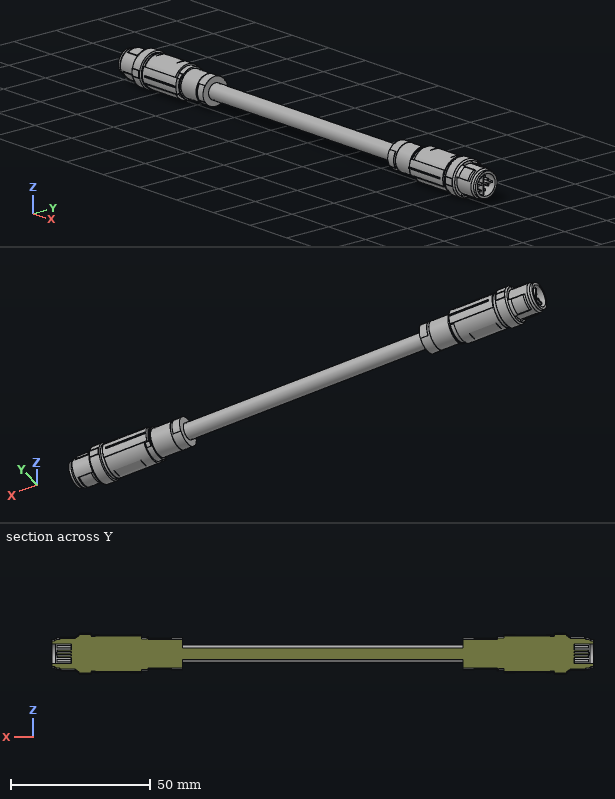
import cadquery as cq
import math

TOTAL_LENGTH = 194.6
OVERALL_WIDTH = 15.0
FULL_TURN = 360.0

NOSE_STEP_X = 1.0
SLEEVE_X = 1.8
PAD_START_X = 2.8
PAD_TOP_X = 3.4
PAD_RAMP_X = 8.4
COLLAR_START_X = 9.5
COLLAR_END_X = 14.4
BODY_START_X = 15.5
RIB_START_X = 17.0
BODY_END_X = 32.3
WING_END_X = 33.7
NECK_END_X = 34.7
TAIL_START_X = 43.0
TAIL_PAD_X = 43.8
PLUG_LENGTH = 47.0

NOSE_RADIUS = 5.2
SLEEVE_RADIUS = 5.75
PAD_RADIUS = 6.1
PAD_RAMP_RADIUS = 6.8
COLLAR_RADIUS = 7.395
GROOVE_RADIUS = 6.7
BODY_RADIUS = 6.9
WING_RADIUS = 7.25
NECK_RADIUS = 5.9
NECK_PAD_RADIUS = 6.25
RELIEF_RADIUS = 5.65
TAIL_RADIUS = 5.75
TAIL_PAD_RADIUS = 5.9
CABLE_RADIUS = 3.25
CORE_RADIUS = 5.0
CABLE_OVERLAP = 2.0

COLLAR_CHAMFER = 0.6
COLLAR_KEY_WIDTH = 2.9
COLLAR_KEY_INSET = 0.6
GRIP_HALF_HEIGHT = 3.2
RIB_THICKNESS = 0.5
RIM_LENGTH = 0.5

SLEEVE_PADS = [(56, 124), (198, 244), (280, 342)]
NECK_PAD = (45, 135)

LABEL_START_X = 17.1
LABEL_LENGTH = 11.2
LABEL_WIDTH = 4.2
LABEL_DEPTH = 0.25

BORE_RADIUS = 4.2
BORE_DEPTH = 7.0
SHIELD_THICKNESS = 0.6
SHIELD_RECESS = 1.5
PIN_RADIUS = 0.4
PIN_RECESS = 2.0
PIN_CIRCLE_RADIUS = 2.75
PIN_COUNT = 8


def revolve_profile(points, start=0.0, end=FULL_TURN):
    """Turn an (x, radius) outline about the X axis between two angles."""
    solid = cq.Workplane("XY").polyline(points).close().revolve(end - start, (0, 0, 0), (1, 0, 0))
    return solid.rotate((0, 0, 0), (1, 0, 0), start)


def ring_sector(x_start, x_end, radius, start, end):
    outline = [(x_start, CORE_RADIUS), (x_start, radius), (x_end, radius), (x_end, CORE_RADIUS)]
    return revolve_profile(outline, start, end)


def block(x_start, x_end, width, height, y_center=0.0, z_center=0.0):
    length = x_end - x_start
    center = (x_start + length / 2, y_center, z_center)
    return cq.Workplane("XY").box(length, width, height).translate(center)


def make_shell():
    """Stepped turned body from the tip to the cable end."""
    return revolve_profile([
        (0, 0),
        (0, NOSE_RADIUS),
        (NOSE_STEP_X, NOSE_RADIUS),
        (SLEEVE_X, SLEEVE_RADIUS),
        (COLLAR_START_X, SLEEVE_RADIUS),
        (COLLAR_START_X, COLLAR_RADIUS - COLLAR_CHAMFER),
        (COLLAR_START_X + COLLAR_CHAMFER, COLLAR_RADIUS),
        (COLLAR_END_X - COLLAR_CHAMFER / 2, COLLAR_RADIUS),
        (COLLAR_END_X, COLLAR_RADIUS - COLLAR_CHAMFER),
        (COLLAR_END_X, GROOVE_RADIUS),
        (BODY_START_X, GROOVE_RADIUS),
        (BODY_START_X, BODY_RADIUS),
        (BODY_END_X, BODY_RADIUS),
        (BODY_END_X, NECK_RADIUS),
        (NECK_END_X - RIM_LENGTH, NECK_RADIUS),
        (NECK_END_X - RIM_LENGTH, NECK_PAD_RADIUS),
        (NECK_END_X, NECK_PAD_RADIUS),
        (NECK_END_X, RELIEF_RADIUS),
        (TAIL_START_X, RELIEF_RADIUS),
        (TAIL_START_X, TAIL_RADIUS),
        (PLUG_LENGTH, TAIL_RADIUS),
        (PLUG_LENGTH, 0),
    ])


def add_sleeve_pads(plug):
    """Raised pads on the sleeve that ramp up into the collar."""
    outline = [
        (PAD_START_X, CORE_RADIUS),
        (PAD_START_X, SLEEVE_RADIUS),
        (PAD_TOP_X, PAD_RADIUS),
        (PAD_RAMP_X, PAD_RADIUS),
        (COLLAR_START_X, PAD_RAMP_RADIUS),
        (COLLAR_START_X, CORE_RADIUS),
    ]
    for start, end in SLEEVE_PADS:
        plug = plug.union(revolve_profile(outline, start, end))
    return plug


def add_side_grips(plug):
    """Wing, centre rib and collar key on both sides of the plug."""
    wing_angle = math.degrees(math.asin(GRIP_HALF_HEIGHT / WING_RADIUS))
    grip_height = OVERALL_WIDTH / 2 - CORE_RADIUS
    for side_angle, side in ((0, 1), (180, -1)):
        wing = ring_sector(
            BODY_START_X, WING_END_X, WING_RADIUS, side_angle - wing_angle, side_angle + wing_angle
        )
        grip_center = side * (CORE_RADIUS + grip_height / 2)
        rib = block(RIB_START_X, WING_END_X, grip_height, RIB_THICKNESS, grip_center)
        key = block(
            COLLAR_START_X + COLLAR_KEY_INSET, COLLAR_END_X - COLLAR_KEY_INSET,
            grip_height, COLLAR_KEY_WIDTH, grip_center,
        )
        plug = plug.union(wing).union(rib).union(key)
    return plug


def cut_labels(plug):
    """Shallow flat-floored recesses on the top and bottom of the body."""
    floor = BODY_RADIUS - LABEL_DEPTH
    for side in (1, -1):
        z_center = side * (floor + BODY_RADIUS / 2)
        recess = block(
            LABEL_START_X, LABEL_START_X + LABEL_LENGTH, LABEL_WIDTH, BODY_RADIUS, z_center=z_center
        )
        plug = plug.cut(recess)
    return plug


def add_tail_pads(plug):
    """Raised pads on both sides of the cable end, in line with the wings."""
    pad_angle = math.degrees(math.asin(GRIP_HALF_HEIGHT / TAIL_PAD_RADIUS))
    for side_angle in (0, 180):
        pad = ring_sector(
            TAIL_PAD_X, PLUG_LENGTH, TAIL_PAD_RADIUS, side_angle - pad_angle, side_angle + pad_angle
        )
        plug = plug.union(pad)
    return plug


def add_contacts(plug):
    """Round chamber with a cross-shaped shield and a ring of pins."""
    plug = plug.cut(cq.Workplane("YZ").circle(BORE_RADIUS).extrude(BORE_DEPTH))
    span = BORE_RADIUS + NOSE_RADIUS
    plug = plug.union(block(SHIELD_RECESS, BORE_DEPTH + SHIELD_THICKNESS, span, SHIELD_THICKNESS))
    plug = plug.union(block(SHIELD_RECESS, BORE_DEPTH + SHIELD_THICKNESS, SHIELD_THICKNESS, span))
    pins = (
        cq.Workplane("YZ", origin=(PIN_RECESS, 0, 0))
        .polarArray(PIN_CIRCLE_RADIUS, FULL_TURN / PIN_COUNT / 2, FULL_TURN, PIN_COUNT)
        .circle(PIN_RADIUS)
        .extrude(BORE_DEPTH + PIN_RADIUS - PIN_RECESS)
    )
    return plug.union(pins)


def make_plug():
    plug = add_sleeve_pads(make_shell())
    plug = plug.union(ring_sector(BODY_END_X, NECK_END_X, NECK_PAD_RADIUS, *NECK_PAD))
    plug = add_side_grips(plug)
    plug = cut_labels(plug)
    plug = add_tail_pads(plug)
    return add_contacts(plug)


left_plug = make_plug().translate((-TOTAL_LENGTH / 2, 0, 0))
right_plug = left_plug.rotate((0, 0, 0), (0, 1, 0), 180)
cable_half_length = TOTAL_LENGTH / 2 - PLUG_LENGTH + CABLE_OVERLAP
cable = (
    cq.Workplane("YZ", origin=(-cable_half_length, 0, 0))
    .circle(CABLE_RADIUS)
    .extrude(2 * cable_half_length)
)
result = left_plug.union(cable).union(right_plug)